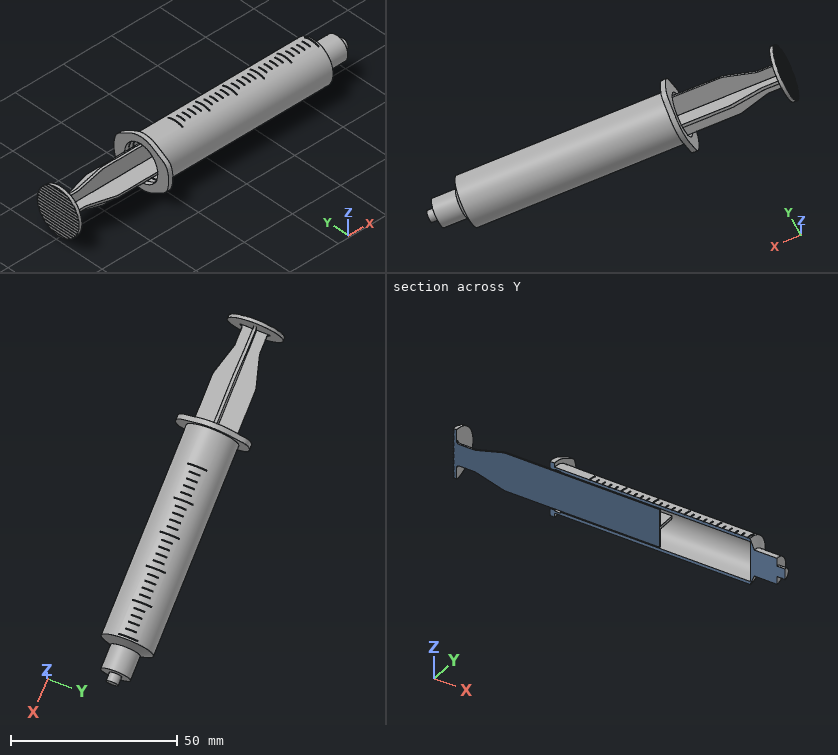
import cadquery as cq
import math


total_length = 118.5

disc_radius = 9.1
disc_thickness = 1.3
grip_pitch = 1.11
grip_depth = 0.1
grip_groove_count = 8

rib_thickness = 1.0
narrow_rib_radius = 4.0
wide_rib_radius = 7.0
taper_start_x = 7.8
taper_end_x = 18.2
taper_blend_radius = 5.0
disc_fillet_radius = 0.8

flange_start_x = 34.5
flange_thickness = 1.8
flange_half_height = 20.0 / 2
flange_half_width = 24.0 / 2
flange_corner_radius = 4.0
flange_flat_angle = 60.0

barrel_radius = 8.5
bore_radius = 7.2
retaining_groove_depth = 0.4
retaining_groove_length = 2.0
barrel_end_x = 106.0
shoulder_length = 1.5
collar_radius = 4.9
collar_end_x = 115.6
nozzle_radius = 2.0

first_mark_x = 48.7
last_mark_x = 105.2
mark_count = 26
mark_pitch = (last_mark_x - first_mark_x) / (mark_count - 1)
marks_per_long_mark = 5
mark_width = 0.3
mark_depth = 0.1
short_mark_length = 3.4
long_mark_length = 6.2

bore_end_x = barrel_end_x
stroke = flange_start_x - disc_thickness - disc_fillet_radius
plunger_end_x = bore_end_x - stroke


def cylinder(radius, start_x, end_x):
    """Solid cylinder on the X axis."""
    return cq.Workplane("YZ", origin=(start_x, 0, 0)).circle(radius).extrude(end_x - start_x)


def polar_point(radius, angle, center=(0.0, 0.0)):
    """Point at an angle in degrees from Y towards Z."""
    turn = math.radians(angle)
    return (center[0] + radius * math.cos(turn), center[1] + radius * math.sin(turn))



def make_rib_pair():
    """Two opposite ribs lying in the XY plane, rounded where the taper begins and ends."""
    profile = [
        (disc_thickness, narrow_rib_radius),
        (taper_start_x, narrow_rib_radius),
        (taper_end_x, wide_rib_radius),
        (plunger_end_x, wide_rib_radius),
    ]
    mirrored = [(x, -radius) for x, radius in reversed(profile)]
    ribs = (
        cq.Workplane("XY", origin=(0, 0, -rib_thickness / 2))
        .polyline(profile + mirrored)
        .close()
        .extrude(rib_thickness)
    )
    for taper_x in (taper_start_x, taper_end_x):
        reach = taper_blend_radius / 2
        around_corner = cq.selectors.BoxSelector(
            (taper_x - reach, -disc_radius, -rib_thickness),
            (taper_x + reach, disc_radius, rib_thickness),
        )
        ribs = ribs.edges("|Z").edges(around_corner).fillet(taper_blend_radius)
    for side in (1, -1):
        ribs = ribs.union(make_rib_root(side))
    return ribs.intersect(cylinder(wide_rib_radius, 0, plunger_end_x))


def make_rib_root(side):
    """Concave fillet between the outer edge of a rib and the thumb disc."""
    outer = narrow_rib_radius + disc_fillet_radius
    end_x = disc_thickness + disc_fillet_radius
    mid_offset = disc_fillet_radius * (1 - math.sqrt(0.5))
    return (
        cq.Workplane("XY", origin=(0, 0, -rib_thickness / 2))
        .moveTo(disc_thickness, 0)
        .lineTo(disc_thickness, side * outer)
        .threePointArc(
            (disc_thickness + mid_offset, side * (narrow_rib_radius + mid_offset)),
            (end_x, side * narrow_rib_radius),
        )
        .lineTo(end_x, 0)
        .close()
        .extrude(rib_thickness)
    )


def make_thumb_disc():
    disc = cylinder(disc_radius, 0, disc_thickness)
    for index in range(grip_groove_count):
        groove_z = 2 * grip_pitch * (index - (grip_groove_count - 1) / 2)
        groove = cq.Workplane("XY").box(2 * grip_depth, 2 * disc_radius, grip_pitch)
        disc = disc.cut(groove.translate((0, 0, groove_z)))
    return disc


def make_plunger():
    rib_pair = make_rib_pair()
    crossing_pair = rib_pair.rotate((0, 0, 0), (1, 0, 0), 90)
    return make_thumb_disc().union(rib_pair).union(crossing_pair)



def make_flange():
    """Two concentric radii joined by straight edges and rounded corners."""
    corner_distance = flange_half_width - flange_corner_radius
    inset = flange_half_height - flange_corner_radius
    corner_angle = flange_flat_angle - math.degrees(math.acos(inset / corner_distance))
    corner_center = polar_point(corner_distance, corner_angle)

    side_end = polar_point(flange_half_width, corner_angle)
    corner_mid = polar_point(flange_corner_radius, (corner_angle + flange_flat_angle) / 2, corner_center)
    corner_end = polar_point(flange_corner_radius, flange_flat_angle, corner_center)
    top_end = polar_point(flange_half_height, flange_flat_angle)

    quarter = (
        cq.Workplane("YZ", origin=(flange_start_x, 0, 0))
        .lineTo(flange_half_width, 0)
        .threePointArc(polar_point(flange_half_width, corner_angle / 2), side_end)
        .threePointArc(corner_mid, corner_end)
        .lineTo(*top_end)
        .threePointArc(
            polar_point(flange_half_height, (flange_flat_angle + 90) / 2),
            (0, flange_half_height),
        )
        .close()
        .extrude(flange_thickness)
    )
    half = quarter.union(quarter.mirror("XZ"))
    return half.union(half.mirror("XY")).clean()


def make_barrel_body():
    """Barrel, conical shoulder, collar and nozzle turned about the X axis."""
    shoulder_end_x = barrel_end_x + shoulder_length
    return (
        cq.Workplane("XY")
        .moveTo(flange_start_x, 0)
        .lineTo(flange_start_x, barrel_radius)
        .lineTo(barrel_end_x, barrel_radius)
        .lineTo(shoulder_end_x, collar_radius)
        .lineTo(collar_end_x, collar_radius)
        .lineTo(collar_end_x, nozzle_radius)
        .lineTo(total_length, nozzle_radius)
        .lineTo(total_length, 0)
        .close()
        .revolve(360, (0, 0, 0), (1, 0, 0))
    )


def make_retaining_groove():
    """Ring cut into the bore wall, just past the flange."""
    groove_start_x = flange_start_x + flange_thickness
    groove_radius = bore_radius + retaining_groove_depth
    return cylinder(groove_radius, groove_start_x, groove_start_x + retaining_groove_length)


def make_graduation_marks():
    """Shallow ring sections that engrave the marks, centred on the top of the barrel."""
    marks = []
    for index in range(mark_count):
        is_long = index % marks_per_long_mark == 0
        length = long_mark_length if is_long else short_mark_length
        mark_x = first_mark_x + index * mark_pitch
        start_x = mark_x - mark_width / 2
        end_x = mark_x + mark_width / 2
        ring = cylinder(barrel_radius + mark_depth, start_x, end_x).cut(
            cylinder(barrel_radius - mark_depth, start_x, end_x)
        )
        window = (
            cq.Workplane("XY", origin=(mark_x, 0, 0))
            .rect(2 * mark_width, length)
            .extrude(2 * barrel_radius)
        )
        marks.append(ring.intersect(window).val())
    return cq.Compound.makeCompound(marks)


def make_barrel():
    barrel = make_barrel_body().union(make_flange())
    barrel = barrel.cut(cylinder(bore_radius, flange_start_x, bore_end_x))
    barrel = barrel.cut(make_retaining_groove())
    return barrel.cut(cq.Workplane(make_graduation_marks()))


plunger = make_plunger()
barrel = make_barrel()

result = cq.Compound.makeCompound([barrel.val(), plunger.val()])